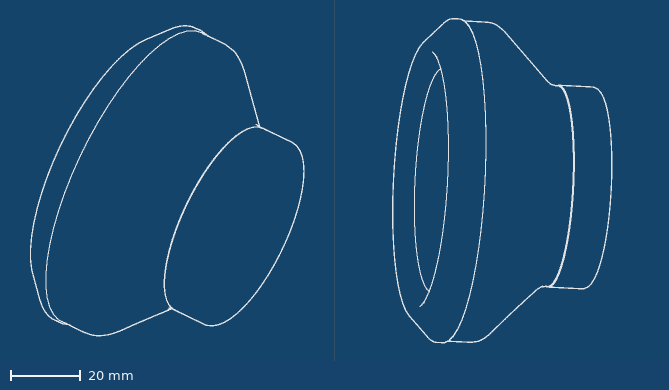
import cadquery as cq

bore_radius = 32.15
floor_depth = 4.8
ring_length = 9.2

ring_radius = 46.5
bevel_tip_radius = 39.87
mouth_radius = 37.25
mouth_depth = 1.0
ring_round = 1.0
ring_back_round = 0.5

body_radius = 46.0
neck_radius = 28.8
knob_radius = 29.0
total_length = 50.0
cone_end = 35.9
cone_start = cone_end - (body_radius - neck_radius)
neck_end = 38.45
knob_lead = 0.25
cone_round = 5.0
knob_round = 1.5


def round_corner(body, x, radius, fillet_radius):
    """Fillet the one circular edge at station x that has the given radius."""
    tolerance = 1e-4

    def is_corner(edge):
        return abs(edge.Center().x - x) < tolerance and abs(edge.radius() - radius) < tolerance

    return body.edges("%CIRCLE").filter(is_corner).fillet(fillet_radius)


def turn(points):
    """Solid of revolution about the X axis from (x, radius) points."""
    return cq.Workplane("XY").polyline(points).close().revolve(360, (0, 0, 0), (1, 0, 0))


def make_ring():
    bevel_length = ring_radius - bevel_tip_radius
    ring = turn([
        (0, mouth_radius),
        (0, bevel_tip_radius),
        (bevel_length, ring_radius),
        (ring_length, ring_radius),
        (ring_length, bore_radius),
        (floor_depth, bore_radius),
        (mouth_depth, mouth_radius - mouth_depth),
    ])
    ring = round_corner(ring, bevel_length, ring_radius, ring_round)
    ring = round_corner(ring, 0, bevel_tip_radius, ring_round)
    ring = round_corner(ring, 0, mouth_radius, ring_round)
    return round_corner(ring, ring_length, ring_radius, ring_back_round)


def make_housing():
    housing = turn([
        (floor_depth, 0),
        (floor_depth, bore_radius),
        (ring_length, bore_radius),
        (ring_length, body_radius),
        (cone_start, body_radius),
        (cone_end, neck_radius),
        (neck_end, neck_radius),
        (neck_end + knob_lead, knob_radius),
        (total_length, knob_radius),
        (total_length, 0),
    ])
    housing = round_corner(housing, cone_start, body_radius, cone_round)
    housing = round_corner(housing, cone_end, neck_radius, cone_round)
    return round_corner(housing, total_length, knob_radius, knob_round)


ring = make_ring()
housing = make_housing()

result = cq.Compound.makeCompound([ring.val(), housing.val()])